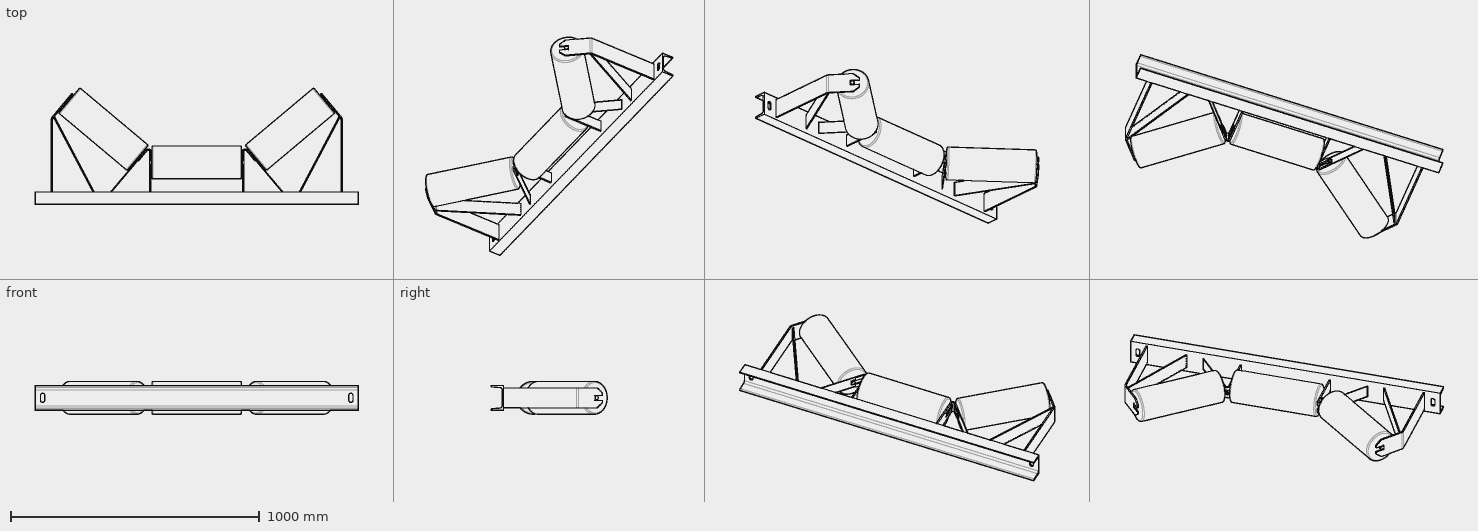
import cadquery as cq
import math


BEAM_LENGTH = 1300.0
BEAM_HEIGHT = 100.0
BEAM_DEPTH = 50.0
WEB_THICKNESS = 6.0
FLANGE_MID_THICKNESS = 8.5
FLANGE_TAPER = 0.08
ROOT_RADIUS = 8.5
TOE_RADIUS = 4.5
MOUNT_SLOT_LENGTH = 36.0
MOUNT_SLOT_WIDTH = 16.0
MOUNT_SLOT_INSET = 30.0

ROLLER_DIAMETER = 133.0
ROLLER_LENGTH = 360.0
ROLLER_EDGE_RADIUS = 5.0
SHAFT_DIAMETER = 16.0
TROUGH_ANGLE = 40.0
TOTAL_HEIGHT = 467.04
WING_OFFSET = 375.0
CENTER_AXIS_Y = 168.5

PLATE_THICKNESS = 6.0
ROLLER_GAP = 4.0
SHAFT_SLOT_WIDTH = 20.0

OUTER_WIDTH = 80.0
OUTER_LEG_X = 585.0
OUTER_BEND_RADIUS = 7.0
OUTER_TIP_REACH = 29.0
TIP_CHAMFER_ALONG = 24.0
TIP_CHAMFER_ACROSS = 20.0

BRACE_WIDTH = 60.0
BRACE_THICKNESS = 5.0
BRACE_FOOT_X = 412.0
BRACE_ANGLE = 62.2

INNER_WIDTH = 50.0
INNER_TOP_Y = 222.0
INNER_CORNER_RADIUS = 8.0
LUG_END = 10.0
ARM_THICKNESS = 3.0

tilt = math.radians(TROUGH_ANGLE)
brace_slope = math.radians(BRACE_ANGLE)
roller_radius = ROLLER_DIAMETER / 2
shaft_radius = SHAFT_DIAMETER / 2
plate_near = ROLLER_LENGTH / 2 + ROLLER_GAP
plate_far = plate_near + PLATE_THICKNESS
rim_center_along = ROLLER_LENGTH / 2 - ROLLER_EDGE_RADIUS
rim_center_across = roller_radius - ROLLER_EDGE_RADIUS
wing_axis_y = (TOTAL_HEIGHT - ROLLER_EDGE_RADIUS
               - rim_center_along * math.sin(tilt) - rim_center_across * math.cos(tilt))


def wing_point(along, across):
    """XY point given along the -X wing axis (outward) and square to it (upward)."""
    x = -WING_OFFSET - along * math.cos(tilt) + across * math.sin(tilt)
    y = wing_axis_y + along * math.sin(tilt) + across * math.cos(tilt)
    return (x, y)


def wing_face_at_x(along, x):
    """Point at a given X on the plane square to the wing axis at a distance along it."""
    base_x, base_y = wing_point(along, 0)
    return (x, base_y + (x - base_x) / math.tan(tilt))


def wing_face_at_y(along, y):
    """Point at a given Y on the plane square to the wing axis at a distance along it."""
    base_x, base_y = wing_point(along, 0)
    return (base_x + (y - base_y) * math.tan(tilt), y)


def plate(outline, width):
    """Extrude an XY outline to a width centred on Z = 0."""
    return cq.Workplane("XY").workplane(offset=-width / 2).polyline(outline).close().extrude(width)


def place_on_wing(body):
    """Move a body modelled about the origin, axis along X, onto the -X wing."""
    turned = body.rotate((0, 0, 0), (0, 0, 1), -TROUGH_ANGLE)
    return turned.translate((-WING_OFFSET, wing_axis_y, 0))


def shaft_slot(along):
    """Cutter for an upward-open slot in a plate, its floor touching the shaft underside."""
    height = roller_radius + shaft_radius
    center_y = height / 2 - shaft_radius
    box = cq.Workplane("XY").box(2 * PLATE_THICKNESS, height, SHAFT_SLOT_WIDTH)
    return box.translate((along, center_y, 0))


def round_edge(body, point, radius):
    """Fillet the edge parallel to Z that passes through an XY point."""
    nearest = cq.selectors.NearestToPointSelector((point[0], point[1], 0))
    return body.edges("|Z").edges(nearest).fillet(radius)


def make_beam():
    half_height = BEAM_HEIGHT / 2
    web_inside = BEAM_DEPTH - WEB_THICKNESS

    def flange_inside(y):
        """Height of the tapered inner flange face, the flange thickening towards the web."""
        return half_height - FLANGE_MID_THICKNESS - FLANGE_TAPER * (y - BEAM_DEPTH / 2)

    toe_height = flange_inside(0)
    root_height = flange_inside(web_inside)
    profile = [
        (0, -half_height), (BEAM_DEPTH, -half_height),
        (BEAM_DEPTH, half_height), (0, half_height),
        (0, toe_height), (web_inside, root_height),
        (web_inside, -root_height), (0, -toe_height),
    ]
    start = cq.Workplane("YZ").workplane(offset=-BEAM_LENGTH / 2)
    beam = start.polyline(profile).close().extrude(BEAM_LENGTH)
    for side in (-1, 1):
        root = cq.selectors.NearestToPointSelector((0, web_inside, side * root_height))
        beam = beam.edges("|X").edges(root).fillet(ROOT_RADIUS)
        toe = cq.selectors.NearestToPointSelector((0, 0, side * toe_height))
        beam = beam.edges("|X").edges(toe).fillet(TOE_RADIUS)
    slot_x = BEAM_LENGTH / 2 - MOUNT_SLOT_INSET
    slots = (cq.Workplane("XZ").pushPoints([(-slot_x, 0), (slot_x, 0)])
             .slot2D(MOUNT_SLOT_LENGTH, MOUNT_SLOT_WIDTH, 90).extrude(-BEAM_DEPTH))
    return beam.cut(slots)


def make_roller():
    """Drum with rounded rims and a through shaft, centred on the origin along X."""
    drum = (cq.Workplane("YZ").workplane(offset=-ROLLER_LENGTH / 2)
            .circle(roller_radius).extrude(ROLLER_LENGTH)
            .edges().fillet(ROLLER_EDGE_RADIUS))
    shaft = (cq.Workplane("YZ").workplane(offset=-plate_far)
             .circle(shaft_radius).extrude(2 * plate_far))
    return drum.union(shaft)


def make_outer_bracket():
    """Upright leg bent square to the wing axis, with a slotted and chamfered tip."""
    outer_bend = wing_face_at_x(plate_far, -OUTER_LEG_X)
    inner_bend = wing_face_at_x(plate_near, -OUTER_LEG_X + PLATE_THICKNESS)
    bracket = plate([
        (outer_bend[0], BEAM_DEPTH), outer_bend,
        wing_point(plate_far, OUTER_TIP_REACH), wing_point(plate_near, OUTER_TIP_REACH),
        inner_bend, (inner_bend[0], BEAM_DEPTH),
    ], OUTER_WIDTH)
    bracket = round_edge(bracket, outer_bend, OUTER_BEND_RADIUS + PLATE_THICKNESS)
    bracket = round_edge(bracket, inner_bend, OUTER_BEND_RADIUS)

    half_width = OUTER_WIDTH / 2
    corner = (cq.Workplane("YZ").workplane(offset=-plate_far)
              .polyline([(OUTER_TIP_REACH - TIP_CHAMFER_ALONG, half_width),
                         (OUTER_TIP_REACH, half_width),
                         (OUTER_TIP_REACH, half_width - TIP_CHAMFER_ACROSS)])
              .close().extrude(plate_far - ROLLER_LENGTH / 2))
    for cutter in (corner, corner.mirror("XY"), shaft_slot(-plate_near)):
        bracket = bracket.cut(place_on_wing(cutter))
    return bracket


def make_brace():
    """Sloping strut from the beam up to the inner face of the outer bracket's tip."""
    foot_right = -BRACE_FOOT_X
    foot_left = foot_right - BRACE_THICKNESS / math.sin(brace_slope)
    face_x, face_y = wing_point(plate_near, 0)

    def head(foot_x):
        rise = face_y - BEAM_DEPTH + (foot_x - face_x) / math.tan(tilt)
        length = rise / (math.sin(brace_slope) + math.cos(brace_slope) / math.tan(tilt))
        return (foot_x - length * math.cos(brace_slope),
                BEAM_DEPTH + length * math.sin(brace_slope))

    return plate([(foot_left, BEAM_DEPTH), head(foot_left),
                  head(foot_right), (foot_right, BEAM_DEPTH)], BRACE_WIDTH)


def make_inner_bracket():
    """Leg for the level roller, folded over into a lug and a thin arm under the wing."""
    leg_far = -plate_far
    leg_near = -plate_near
    under_y = INNER_TOP_Y - PLATE_THICKNESS
    arm_back = plate_near + ARM_THICKNESS
    corner = (leg_near, INNER_TOP_Y)
    bracket = plate([
        (leg_near, BEAM_DEPTH), corner,
        wing_face_at_y(-plate_near, INNER_TOP_Y), wing_face_at_y(-plate_near, BEAM_DEPTH),
        wing_face_at_y(-arm_back, BEAM_DEPTH), wing_point(-arm_back, LUG_END),
        wing_point(-plate_far, LUG_END), wing_face_at_y(-plate_far, under_y),
        (leg_far, under_y), (leg_far, BEAM_DEPTH),
    ], INNER_WIDTH)
    bracket = round_edge(bracket, corner, INNER_CORNER_RADIUS)
    center_slot = shaft_slot(-plate_near).translate((0, CENTER_AXIS_Y, 0))
    wing_slot = place_on_wing(shaft_slot(plate_near))
    return bracket.cut(center_slot).cut(wing_slot)


beam = make_beam()
roller = make_roller()
center_roller = roller.translate((0, CENTER_AXIS_Y, 0))
wing_roller = place_on_wing(roller)

bodies = [beam.val(), center_roller.val()]
for left in (wing_roller, make_outer_bracket(), make_brace(), make_inner_bracket()):
    right = left.mirror("YZ")
    bodies += [left.val(), right.val()]

result = cq.Compound.makeCompound(bodies)